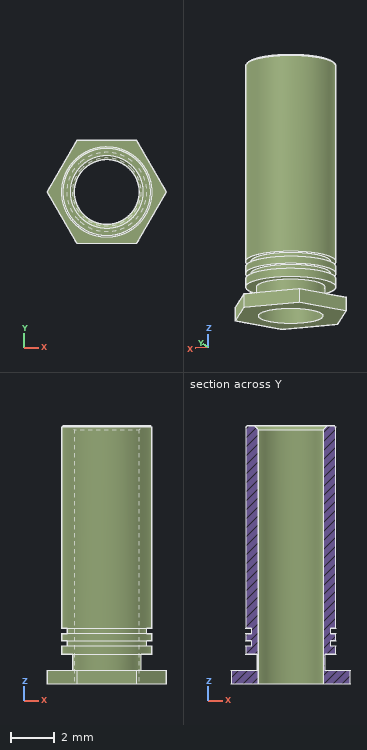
import cadquery as cq
import math

total_height = 12.0
hex_across_flats = 4.8
hex_height = 0.65

barrel_diameter = 4.2
groove_diameter = 3.7
neck_diameter = 3.18
bore_diameter = 3.0
bore_mouth_diameter = 3.38

neck_top = 1.38
lower_groove_bottom = 1.78
upper_groove_bottom = 2.35
groove_width = 0.24

rim_chamfer = 0.07
bore_chamfer = (bore_mouth_diameter - bore_diameter) / 2


def cylinder(diameter, bottom, top):
    """Upright cylinder between two levels."""
    return cq.Workplane("XY").workplane(offset=bottom).circle(diameter / 2).extrude(top - bottom)


def groove(bottom):
    """Ring of material removed from the outside of the barrel."""
    top = bottom + groove_width
    return cylinder(barrel_diameter, bottom, top).cut(cylinder(groove_diameter, bottom, top))


hex_across_corners = hex_across_flats / math.cos(math.pi / 6)
foot = cq.Workplane("XY").polygon(6, hex_across_corners).extrude(hex_height)

neck = cylinder(neck_diameter, hex_height, neck_top)
barrel = cylinder(barrel_diameter, neck_top, total_height).faces(">Z").edges().chamfer(rim_chamfer)
for groove_bottom in (lower_groove_bottom, upper_groove_bottom):
    barrel = barrel.cut(groove(groove_bottom))

bore = cylinder(bore_diameter, 0, total_height)

result = foot.union(neck).union(barrel).cut(bore)
mouth = result.faces(">Z").edges(cq.selectors.RadiusNthSelector(0))
result = mouth.chamfer(bore_chamfer)